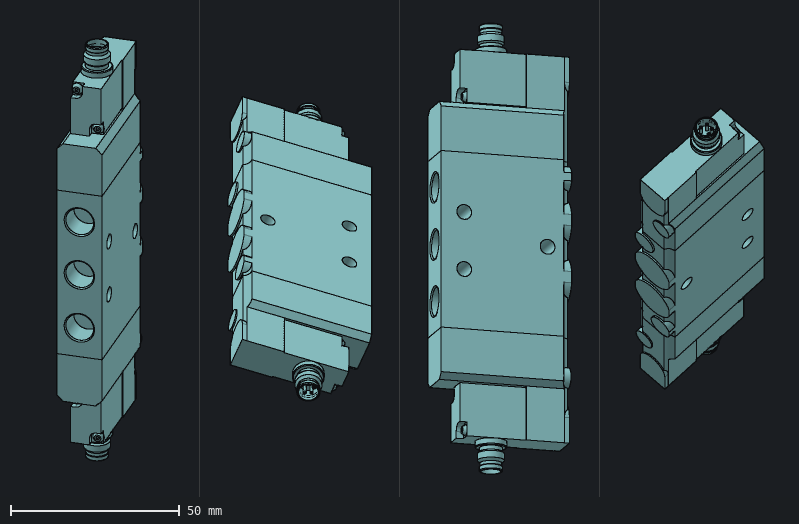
import cadquery as cq
import math


LENGTH = 136.4
WIDTH = 14.0
HALF_WIDTH = WIDTH / 2
DEPTH = 40.4
REAR_Y = 39.8
BODY_HALF_LENGTH = 42.5
CAP_SEAM_Z = 27.0
END_BEVEL = 1.9
COVE_RADIUS = 2.7
COVE_START_Y = 37.9

PILOT_HALF_LENGTH = 59.0
PILOT_HALF_WIDTH = HALF_WIDTH - END_BEVEL
PILOT_FRONT_Y = 26.9
PAD_STEP_Y = 38.7
PAD_TOP_Y = 40.2
PAD_ROUND_Z = 51.3

PORT_PITCH = 17.5
PORT_DIAMETER = 8.6
PORT_MOUTH_DIAMETER = 9.4
PORT_DEPTH = 8.2

CROSS_HOLE_DIAMETER = 4.5
FRONT_HOLE_Y = 7.1
REAR_HOLE_Y = 32.9
REAR_PORT_Z = 8.7

COLLAR_RADIUS = 7.2
SEAL_BOSS_RADIUS = 3.8
SEAL_BOSS_X = 3.4
SEAL_BOSS_Z = 22.0
CAP_BOSS_RADIUS = 3.3
CAP_BOSS_X = 3.5
CAP_BOSS_Z = 39.0

BOX_WIDTH = 9.5
BOX_FRONT_Y = 6.4
BOX_GAP = 0.4
BOX_BOTTOM_Z = BODY_HALF_LENGTH + BOX_GAP
BOX_TOP_Z = PILOT_HALF_LENGTH
BOX_MIDDLE_Z = (BOX_BOTTOM_Z + BOX_TOP_Z) / 2

SCREW_X = 3.3
SCREW_OFFSET_Z = 6.0
SCREW_RECESS_RADIUS = 2.2
SCREW_RECESS_DEPTH = 2.2
SCREW_HEAD_DIAMETER = 3.5
SCREW_HEAD_TOP_DIAMETER = 2.0
SCREW_HEAD_HEIGHT = 1.1
SOCKET_DIAMETER = 1.0
SOCKET_DEPTH = 0.5

PLUG_Y = 17.5
PLUG_TOP_Z = LENGTH / 2
COLLAR_DIAMETER = 9.4
COLLAR_TOP_Z = 61.0
COLLAR_CHAMFER = 0.3
GROOVE_DIAMETER = 6.5
RING_DIAMETER = 8.0
TIP_DIAMETER = 7.0
RING_TAPER_START_Z = 62.2
RING_BOTTOM_Z = 62.7
RING_TOP_Z = 64.8
RING_TAPER_END_Z = 65.6
TIP_BOTTOM_Z = 66.5
TIP_CHAMFER = 0.3
PLUG_BORE_DIAMETER = 5.9
PLUG_BORE_DEPTH = 4.8
PIN_DIAMETER = 1.0
PIN_LENGTH = 3.4
PIN_CHAMFER = 0.3
PIN_PLACES = [(-1.6, 0.5), (1.6, 0.5), (-1.02, -1.4), (1.02, -1.4)]


def block(x0, x1, y0, y1, z0, z1):
    """Box between two opposite corners."""
    return cq.Workplane("XY").box(x1 - x0, y1 - y0, z1 - z0, centered=False).translate((x0, y0, z0))


def rod_y(radius, x, z, y0, y1):
    """Cylinder along Y from y0 to y1."""
    return cq.Workplane(cq.Solid.makeCylinder(radius, y1 - y0, cq.Vector(x, y0, z), cq.Vector(0, 1, 0)))


def cone_y(diameter0, diameter1, x, z, y0, y1):
    """Truncated cone along Y, from diameter0 at y0 to diameter1 at y1."""
    base = cq.Vector(x, y0, z)
    return cq.Workplane(cq.Solid.makeCone(diameter0 / 2, diameter1 / 2, y1 - y0, base, cq.Vector(0, 1, 0)))


def half_turn(shape):
    """The same shape at the other end of the valve."""
    return shape.rotate((0, 0, 0), (0, 1, 0), 180)


def coved_bar(z0, z1):
    """Full-width bar along Z whose two rear edges are hollowed by a round cove."""
    rise = REAR_Y - COVE_START_Y
    reach = math.sqrt(COVE_RADIUS**2 - (COVE_RADIUS - rise) ** 2)
    half_rear = HALF_WIDTH - reach
    middle_angle = math.acos(1 - rise / COVE_RADIUS) / 2
    middle_x = HALF_WIDTH - COVE_RADIUS * math.sin(middle_angle)
    middle_y = COVE_START_Y + COVE_RADIUS * (1 - math.cos(middle_angle))
    return (
        cq.Workplane("XY", origin=(0, 0, z0))
        .moveTo(-HALF_WIDTH, 0)
        .lineTo(HALF_WIDTH, 0)
        .lineTo(HALF_WIDTH, COVE_START_Y)
        .threePointArc((middle_x, middle_y), (half_rear, REAR_Y))
        .lineTo(-half_rear, REAR_Y)
        .threePointArc((-middle_x, middle_y), (-HALF_WIDTH, COVE_START_Y))
        .close()
        .extrude(z1 - z0)
    )


def make_end_cap():
    """End cap, its end bevelled on both sides down to the width of the pilot block."""
    outline = (
        cq.Workplane("XZ")
        .moveTo(-HALF_WIDTH, CAP_SEAM_Z)
        .lineTo(HALF_WIDTH, CAP_SEAM_Z)
        .lineTo(HALF_WIDTH, BODY_HALF_LENGTH - END_BEVEL)
        .lineTo(PILOT_HALF_WIDTH, BODY_HALF_LENGTH)
        .lineTo(-PILOT_HALF_WIDTH, BODY_HALF_LENGTH)
        .lineTo(-HALF_WIDTH, BODY_HALF_LENGTH - END_BEVEL)
        .close()
        .extrude(-DEPTH)
    )
    boss = rod_y(CAP_BOSS_RADIUS, -CAP_BOSS_X, CAP_BOSS_Z, COVE_START_Y, PAD_TOP_Y)
    return coved_bar(CAP_SEAM_Z, BODY_HALF_LENGTH).intersect(outline).union(boss)


def make_pilot_block():
    """Pilot block with a raised rear pad that ends in a full round."""
    envelope = block(
        -PILOT_HALF_WIDTH, PILOT_HALF_WIDTH, PILOT_FRONT_Y, DEPTH, BODY_HALF_LENGTH, PILOT_HALF_LENGTH
    )
    pad = block(
        -PILOT_HALF_WIDTH, PILOT_HALF_WIDTH, PAD_STEP_Y, PAD_TOP_Y, PAD_ROUND_Z, PILOT_HALF_LENGTH
    )
    pad_round = rod_y(PILOT_HALF_WIDTH, 0, PAD_ROUND_Z, PAD_STEP_Y, PAD_TOP_Y)
    return coved_bar(BODY_HALF_LENGTH, PILOT_HALF_LENGTH).intersect(envelope).union(pad).union(pad_round)


def make_rear_bosses():
    """Port collars cut flush with the sides, and the smaller seal bosses, all on the rear face."""
    sides = block(-HALF_WIDTH, HALF_WIDTH, 0, DEPTH, -CAP_SEAM_Z, CAP_SEAM_Z)
    bosses = rod_y(COLLAR_RADIUS, 0, REAR_PORT_Z, COVE_START_Y, DEPTH)
    bosses = bosses.union(rod_y(SEAL_BOSS_RADIUS, SEAL_BOSS_X, SEAL_BOSS_Z, COVE_START_Y, DEPTH))
    return bosses.union(half_turn(bosses)).intersect(sides)


def make_port(z):
    """Blind port with a conical mouth."""
    mouth_depth = (PORT_MOUTH_DIAMETER - PORT_DIAMETER) / 2
    mouth = cone_y(PORT_MOUTH_DIAMETER, PORT_DIAMETER, 0, z, 0, mouth_depth)
    return rod_y(PORT_DIAMETER / 2, 0, z, 0, PORT_DEPTH).union(mouth)


def make_cross_holes():
    """Three mounting holes through the width."""
    places = [(FRONT_HOLE_Y, REAR_PORT_Z), (FRONT_HOLE_Y, -REAR_PORT_Z), (REAR_HOLE_Y, 0)]
    return (
        cq.Workplane("YZ", origin=(-HALF_WIDTH, 0, 0))
        .pushPoints(places)
        .circle(CROSS_HOLE_DIAMETER / 2)
        .extrude(WIDTH)
    )


def make_main_block():
    """Main block with its rear bosses, ports and cross holes."""
    main_block = coved_bar(-CAP_SEAM_Z, CAP_SEAM_Z).union(make_rear_bosses())
    for z in (-PORT_PITCH, 0, PORT_PITCH):
        main_block = main_block.cut(make_port(z))
    return main_block.cut(make_cross_holes())


def add_screw(box, side):
    """Sunk corner screw; side is -1 for the -X corner at the top, +1 for the +X corner at the bottom."""
    x = side * SCREW_X
    z = BOX_MIDDLE_Z - side * SCREW_OFFSET_Z
    radius = SCREW_RECESS_RADIUS
    floor_y = BOX_FRONT_Y + SCREW_RECESS_DEPTH
    outside = 2 * radius
    side_exit = block(0, outside, BOX_FRONT_Y, floor_y, -outside, radius)
    end_exit = block(-radius, outside, BOX_FRONT_Y, floor_y, -outside, 0)
    recess = rod_y(radius, 0, 0, BOX_FRONT_Y, floor_y).union(side_exit).union(end_exit)
    if side < 0:
        recess = half_turn(recess)
    head_y = floor_y - SCREW_HEAD_HEIGHT
    head = cone_y(SCREW_HEAD_TOP_DIAMETER, SCREW_HEAD_DIAMETER, x, z, head_y, floor_y)
    socket = rod_y(SOCKET_DIAMETER / 2, x, z, head_y, head_y + SOCKET_DEPTH)
    return box.cut(recess.translate((x, 0, z))).union(head).cut(socket)


def make_plug():
    """Turned plug connector with its pins standing in the bore."""
    profile = [
        (COLLAR_DIAMETER, BOX_TOP_Z),
        (COLLAR_DIAMETER, COLLAR_TOP_Z - COLLAR_CHAMFER),
        (COLLAR_DIAMETER - 2 * COLLAR_CHAMFER, COLLAR_TOP_Z),
        (TIP_DIAMETER, COLLAR_TOP_Z),
        (TIP_DIAMETER, RING_TAPER_START_Z),
        (RING_DIAMETER, RING_BOTTOM_Z),
        (RING_DIAMETER, RING_TOP_Z),
        (GROOVE_DIAMETER, RING_TAPER_END_Z),
        (GROOVE_DIAMETER, TIP_BOTTOM_Z),
        (TIP_DIAMETER, TIP_BOTTOM_Z + (TIP_DIAMETER - GROOVE_DIAMETER) / 2),
        (TIP_DIAMETER, PLUG_TOP_Z - TIP_CHAMFER),
        (TIP_DIAMETER - 2 * TIP_CHAMFER, PLUG_TOP_Z),
    ]
    outline = [(0, BOX_TOP_Z)] + [(diameter / 2, z) for diameter, z in profile] + [(0, PLUG_TOP_Z)]
    plug = cq.Workplane("XZ").polyline(outline).close().revolve(360, (0, 0, 0), (0, 1, 0))
    floor = cq.Workplane("XY", origin=(0, 0, PLUG_TOP_Z - PLUG_BORE_DEPTH))
    bore = floor.circle(PLUG_BORE_DIAMETER / 2).extrude(PLUG_BORE_DEPTH)
    pins = floor.pushPoints(PIN_PLACES).circle(PIN_DIAMETER / 2).extrude(PIN_LENGTH)
    pins = pins.faces(">Z").chamfer(PIN_CHAMFER)
    return plug.cut(bore).union(pins).translate((0, PLUG_Y, 0))


def make_electrical_box():
    """Electrical box in front of the pilot block, with two screws and a plug."""
    box = block(-BOX_WIDTH / 2, BOX_WIDTH / 2, BOX_FRONT_Y, PILOT_FRONT_Y, BOX_BOTTOM_Z, BOX_TOP_Z)
    for side in (-1, 1):
        box = add_screw(box, side)
    return box.union(make_plug())


def make_end_module():
    """Complete +Z end in one piece: end cap, pilot block and electrical box."""
    return make_end_cap().union(make_pilot_block()).union(make_electrical_box())


main_block = make_main_block()
end_modules = []
for turn in (0, 180):
    end_modules.append(make_end_module().rotate((0, 0, 0), (0, 1, 0), turn).val())

result = cq.Compound.makeCompound([main_block.val(), *end_modules])